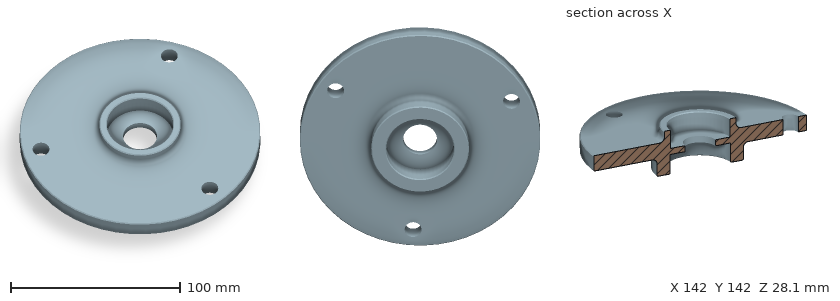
import cadquery as cq

flange_diameter = 142.0
flange_thickness = 10.1
flange_chamfer = 0.5

upper_hub_diameter = 48.0
upper_hub_height = 7.0
lower_hub_diameter = 57.6
total_height = 28.1
hub_fillet = 3.0
edge_chamfer = 0.5

upper_pocket_diameter = 39.2
upper_pocket_depth = 11.6
lower_pocket_diameter = 40.0
web_thickness = 4.1
bore_diameter = 20.0
lower_pocket_depth = total_height - upper_pocket_depth - web_thickness

bolt_hole_count = 3
bolt_hole_diameter = 10.0
bolt_circle_radius = 60.0
first_bolt_angle = 90

selection_margin = 0.1

top_z = flange_thickness + upper_hub_height
bottom_z = top_z - total_height


def cylinder(diameter, start_z, height):
    """Solid cylinder on the Z axis, rising from start_z."""
    return cq.Workplane("XY", origin=(0, 0, start_z)).circle(diameter / 2).extrude(height)


def hub_root_selector(hub_diameter, face_z):
    """Select the circle where a hub meets the flange face at face_z."""
    reach = hub_diameter / 2 + selection_margin
    return cq.selectors.BoxSelector(
        (-reach, -reach, face_z - selection_margin),
        (reach, reach, face_z + selection_margin),
        boundingbox=True,
    )


def make_flanged_body():
    """Flange with both hubs, filleted where they meet the flange."""
    flange = cylinder(flange_diameter, 0, flange_thickness).edges().chamfer(flange_chamfer)
    upper_hub = cylinder(upper_hub_diameter, flange_thickness, upper_hub_height)
    lower_hub = cylinder(lower_hub_diameter, bottom_z, -bottom_z)
    body = flange.union(upper_hub).union(lower_hub)
    for hub_diameter, face_z in ((upper_hub_diameter, flange_thickness), (lower_hub_diameter, 0)):
        root_circle = hub_root_selector(hub_diameter, face_z)
        body = body.edges(root_circle).fillet(hub_fillet)
    return body


def make_bolt_holes():
    """Through holes spaced evenly around the flange."""
    return (
        cq.Workplane("XY")
        .polarArray(bolt_circle_radius, first_bolt_angle, 360, bolt_hole_count)
        .circle(bolt_hole_diameter / 2)
        .extrude(flange_thickness)
    )


body = make_flanged_body()
body = body.cut(cylinder(upper_pocket_diameter, top_z - upper_pocket_depth, upper_pocket_depth))
body = body.cut(cylinder(lower_pocket_diameter, bottom_z, lower_pocket_depth))
body = body.cut(cylinder(bore_diameter, bottom_z, total_height))

body = body.faces("<Z or >Z").edges().chamfer(edge_chamfer)

result = body.cut(make_bolt_holes())